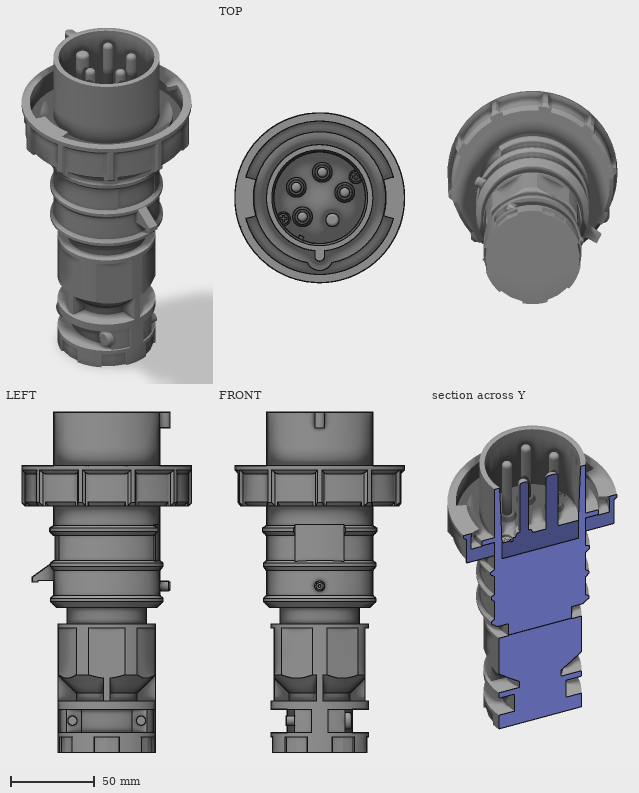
import cadquery as cq
import math


total_height = 203.33
notch_top = 9.3
clamp_bottom = 11.9
clamp_top = 25.8
disc_top = 30.8
cone_bottom = 35.5
flats_top = 74.3
gland_top = 76.9
body_bottom = 86.6
low_collar_rim_bottom = 90.2
low_collar_rim_top = 92.1
low_collar_top = 93.9
mid_collar_bottom = 108.6
mid_collar_rim_bottom = 111.2
mid_collar_rim_top = 113.1
mid_collar_top = 114.7
top_collar_bottom = 129.5
top_collar_rim_bottom = 131.9
top_collar_rim_top = 134.0
top_collar_top = 135.6
latch_top = 114.0
ring_bottom = 147.2
ring_floor = 158.2
ring_top = 171.4

body_radius = 31.75
neck_radius = 23.75
body_bottom_radius = 30.0
bore_mouth_radius = 28.6
bore_radius = 27.3
collar_radius = 33.7
top_collar_radius = 34.2
seat_depth = 15.0
flange_radius = 39.4
flange_thickness = 4.5
flange_bump_radius = 8.0
flange_bump_offset = 35.4
key_width = 5.8
key_reach = 37.9
key_height = 9.4
panel_half_width = 14.6
panel_bottom = mid_collar_rim_top
panel_top = 136.2
panel_curve_radius = 40.0
back_recess_half_width = 14.2
back_recess_depth = 0.75
back_recess_bottom = mid_collar_top
back_recess_top = top_collar_bottom
collar_gap_chamfer = 2.4
stud_level = 99.4
stud_radius = 3.0
stud_chamfer = 0.9
stud_hole_radius = 0.9
stud_hole_depth = 2.0
latch_width = 6.0
latch_tip = 44.6
latch_tip_top = 104.7
latch_lip_bottom = 101.7
latch_lip_inner = 41.0
latch_underside = 102.6
wall_overlap = 3.0
polarity_angle = 245.0
polarity_width = 2.8
polarity_tip_radius = 25.2
polarity_rise = 2.0

ring_radius = 50.75
ring_lip_height = 2.6
grip_radius = 48.4
grip_count = 10
grip_tip_width = 2.8
grip_flank_width = 5.2
grip_flank_rise = 0.5
grip_root_width = 8.0
grip_toe_chamfer = 2.3
pocket_cut_radius = 58.0
ring_edge_width = 2.0
ring_edge_height = 2.0
ring_bore_radius = 45.8
tab_half_angle = 15.8
tab_inner_radius = 39.7
tab_thickness = 3.0
tab_root = 1.0

sleeve_depth = 45.0
carrier_face = total_height - sleeve_depth
pin_recess = 0.6
pin_tip = total_height - pin_recess
pin_circle_radius = 15.3
pin_first_angle = 12.0
pin_spacing = 72.0
phase_pin_count = 4
phase_pin_radius = 3.0
earth_pin_radius = 4.0
phase_pin_flat_radius = 0.8
earth_pin_flat_radius = 2.0
collar_base_radius = 5.9
collar_tip_radius = 4.5
pin_collar_height = 3.0
fixing_circle_radius = 25.0
fixing_angle = 30.0
fixing_pocket_radius = 4.1
fixing_pocket_depth = 3.0
fixing_head_radius = 3.2
fixing_head_height = 2.0
fixing_cross_length = 4.0
fixing_cross_width = 1.2
fixing_cross_depth = 1.0

gland_radius = 29.25
hex_apothem = 27.2
waist_radius = 18.3
rib_thickness = 4.0
rib_count = 4
foot_notch_radius = 28.1
notch_cut_radius = 32.0
foot_notch_count = 6
foot_notch_half_angle = 15.0
clamp_radius = 28.3
clamp_half_width = 15.0
clamp_key_width = 10.0
clamp_bow_half_length = 15.1
clamp_bow_reach = 19.5

screw_offset = 20.5
screw_level = 19.0
screw_radius = 2.75
screw_tip = 20.0
screw_head_radius = 5.0
screw_head_height = 3.9
screw_head_rounding = 1.5


def cylinder(radius, bottom, top):
    return cq.Workplane("XY").workplane(offset=bottom).circle(radius).extrude(top - bottom)


def block(x_from, x_to, y_from, y_to, bottom, top):
    size = (x_to - x_from, y_to - y_from, top - bottom)
    return cq.Workplane("XY").box(*size, centered=False).translate((x_from, y_from, bottom))


def spin(points):
    """Solid of revolution about Z from a closed outline of (radius, level) points."""
    return cq.Workplane("XZ").polyline(points).close().revolve(360, (0, 0), (0, 1))


def polar(radius, angle):
    turn = math.radians(angle)
    return (radius * math.cos(turn), radius * math.sin(turn))


def ring_sector(inner, outer, half_angle, angle, bottom, height):
    """Part of a flat ring, centred on the given angle."""
    return (
        cq.Workplane("XY").workplane(offset=bottom)
        .moveTo(*polar(inner, angle - half_angle))
        .lineTo(*polar(outer, angle - half_angle))
        .threePointArc(polar(outer, angle), polar(outer, angle + half_angle))
        .lineTo(*polar(inner, angle + half_angle))
        .threePointArc(polar(inner, angle), polar(inner, angle - half_angle))
        .close().extrude(height)
    )


def polarity_rib(top):
    """Rib on the bore wall that keys the contact carrier."""
    mid_radius = (bore_radius + body_radius) / 2
    rib = block(polarity_tip_radius, mid_radius, -polarity_width / 2, polarity_width / 2,
                carrier_face - seat_depth, top)
    return rib.rotate((0, 0, 0), (0, 0, 1), polarity_angle)


def body_outline():
    return spin([
        (0, gland_top),
        (neck_radius, gland_top),
        (neck_radius, body_bottom),
        (body_bottom_radius, body_bottom),
        (collar_radius, low_collar_rim_bottom),
        (collar_radius, low_collar_rim_top),
        (body_radius, low_collar_top),
        (body_radius, mid_collar_bottom),
        (collar_radius, mid_collar_rim_bottom),
        (collar_radius, mid_collar_rim_top),
        (body_radius, mid_collar_top),
        (body_radius, total_height),
        (0, total_height),
    ])


def top_collar():
    """Collar with a gap at the front, its ends sloped down to the gap."""
    collar = spin([
        (neck_radius, top_collar_bottom),
        (body_radius, top_collar_bottom),
        (top_collar_radius, top_collar_rim_bottom),
        (top_collar_radius, top_collar_rim_top),
        (body_radius, top_collar_top),
        (neck_radius, top_collar_top),
    ])
    slope_end = panel_half_width + collar_gap_chamfer
    front = -top_collar_radius
    gap_root = -math.sqrt(body_radius ** 2 - panel_half_width ** 2)
    gap = (
        cq.Workplane("XY").workplane(offset=top_collar_bottom)
        .polyline([
            (-slope_end, front), (slope_end, front),
            (panel_half_width, gap_root), (-panel_half_width, gap_root),
        ]).close().extrude(top_collar_top - top_collar_bottom)
    )
    return collar.cut(gap)


def flange():
    bottom = ring_floor
    top = ring_floor + flange_thickness
    bump = cylinder(flange_bump_radius, bottom, top).translate((0, -flange_bump_offset, 0))
    return cylinder(flange_radius, bottom, top).union(bump)


def front_panel():
    """Gently curved label pad on the front of the body."""
    pad = block(-panel_half_width, panel_half_width, -body_radius, 0, panel_bottom, panel_top)
    curve = cylinder(panel_curve_radius, panel_bottom, panel_top)
    return pad.intersect(curve.translate((0, panel_curve_radius - body_radius, 0)))


def back_recess():
    """Shallow label recess that follows the curve of the back."""
    shell = cylinder(collar_radius, back_recess_bottom, back_recess_top).cut(
        cylinder(body_radius - back_recess_depth, back_recess_bottom, back_recess_top))
    return shell.intersect(block(-back_recess_half_width, back_recess_half_width, 0, collar_radius,
                                 back_recess_bottom, back_recess_top))


def sleeve_key():
    radius = key_width / 2
    bottom = total_height - key_height
    end_centre = -key_reach + radius
    stem = block(-radius, radius, end_centre, -(bore_mouth_radius + body_radius) / 2, bottom, total_height)
    return stem.union(cylinder(radius, bottom, total_height).translate((0, end_centre, 0)))


def stud():
    pin = (
        cq.Workplane("XZ").center(0, stud_level).circle(stud_radius).extrude(key_reach)
        .faces("<Y").chamfer(stud_chamfer)
    )
    return pin.faces("<Y").workplane().hole(2 * stud_hole_radius, stud_hole_depth)


def latch():
    """Wedge on the back of the body with a small lip under its edge."""
    outline = [
        (body_radius - wall_overlap, latch_top),
        (body_radius, latch_top),
        (latch_tip, latch_tip_top),
        (latch_tip, latch_lip_bottom),
        (latch_lip_inner, latch_lip_bottom),
        (latch_lip_inner, latch_underside),
        (body_radius - wall_overlap, latch_underside),
    ]
    return cq.Workplane("YZ").polyline(outline).close().extrude(latch_width / 2, both=True)


def make_housing():
    bore = spin([
        (0, carrier_face - seat_depth),
        (bore_radius, carrier_face - seat_depth),
        (bore_radius, carrier_face),
        (bore_mouth_radius, total_height),
        (0, total_height),
    ])
    return (
        body_outline()
        .union(top_collar()).union(flange())
        .cut(back_recess())
        .union(front_panel()).union(sleeve_key())
        .union(stud()).union(latch())
        .cut(bore)
        .union(polarity_rib(carrier_face + polarity_rise))
    )


def grip_pocket():
    """Shallow panel between two grip ribs, with stepped sides, a sloped top and a bevelled foot."""
    lip_bottom = ring_top - ring_lip_height
    rib_turn = 360 / grip_count
    outside = pocket_cut_radius

    def beside_rib(radius, rib_width, side):
        """Point on one flank of the rib on that side of the pocket, at the given rib width."""
        turn = rib_turn / 2 - math.degrees(math.asin(rib_width / 2 / radius))
        return polar(radius, side * turn)

    flank_radius = grip_radius + grip_flank_rise
    prism = (
        cq.Workplane("XY").workplane(offset=ring_bottom)
        .moveTo(*beside_rib(outside, grip_tip_width, -1))
        .lineTo(*beside_rib(ring_radius, grip_tip_width, -1))
        .lineTo(*beside_rib(flank_radius, grip_flank_width, -1))
        .lineTo(*beside_rib(grip_radius, grip_root_width, -1))
        .threePointArc((grip_radius, 0), beside_rib(grip_radius, grip_root_width, 1))
        .lineTo(*beside_rib(flank_radius, grip_flank_width, 1))
        .lineTo(*beside_rib(ring_radius, grip_tip_width, 1))
        .lineTo(*beside_rib(outside, grip_tip_width, 1))
        .close().extrude(lip_bottom - ring_bottom)
    )
    slope_root = grip_radius - grip_toe_chamfer
    slope_root_level = lip_bottom - (ring_radius - slope_root)
    under_slope = spin([
        (0, ring_bottom),
        (outside, ring_bottom),
        (outside, lip_bottom),
        (ring_radius, lip_bottom),
        (slope_root, slope_root_level),
        (0, slope_root_level),
    ]).rotate((0, 0, 0), (0, 0, 1), 180)
    half_angle = rib_turn / 2 - math.degrees(math.asin(grip_root_width / 2 / grip_radius))
    toe = ring_sector(grip_radius - 2 * grip_toe_chamfer, outside, half_angle, 0,
                      ring_bottom, grip_toe_chamfer)
    toe_core = spin([
        (0, ring_bottom),
        (grip_radius - grip_toe_chamfer, ring_bottom),
        (grip_radius, ring_bottom + grip_toe_chamfer),
        (0, ring_bottom + grip_toe_chamfer),
    ]).rotate((0, 0, 0), (0, 0, 1), 180)
    return prism.intersect(under_slope).union(toe.cut(toe_core))


def make_ring():
    ring = spin([
        (body_radius, ring_bottom),
        (ring_radius - ring_edge_width, ring_bottom),
        (ring_radius, ring_bottom + ring_edge_height),
        (ring_radius, ring_top),
        (ring_bore_radius, ring_top),
        (ring_bore_radius, ring_floor),
        (body_radius, ring_floor),
    ])
    for angle in (0, 180):
        ring = ring.union(ring_sector(tab_inner_radius, ring_bore_radius + tab_root, tab_half_angle, angle,
                                      ring_top - tab_thickness, tab_thickness))
    pocket = grip_pocket()
    for index in range(grip_count):
        ring = ring.cut(pocket.rotate((0, 0, 0), (0, 0, 1), index * 360 / grip_count))
    return ring


def contact_pin(radius, pin_flat_radius, angle):
    """Round pin with a domed tip that ends in a small flat."""
    pin = cylinder(radius, carrier_face, pin_tip)
    return pin.faces(">Z").edges().fillet(radius - pin_flat_radius).translate(
        (*polar(pin_circle_radius, angle), 0))


def pin_collar(angle):
    collar = spin([
        (0, carrier_face),
        (collar_base_radius, carrier_face),
        (collar_tip_radius, carrier_face + pin_collar_height),
        (0, carrier_face + pin_collar_height),
    ])
    return collar.translate((*polar(pin_circle_radius, angle), 0))


def fixing_pocket():
    """Round pocket around a cross-slotted screw head."""
    floor = carrier_face - fixing_pocket_depth
    head_top = floor + fixing_head_height
    head = cylinder(fixing_head_radius, floor, head_top)
    long_half = fixing_cross_length / 2
    short_half = fixing_cross_width / 2
    cross = block(-long_half, long_half, -short_half, short_half, head_top - fixing_cross_depth, head_top)
    cross = cross.union(cross.rotate((0, 0, 0), (0, 0, 1), 90))
    return cylinder(fixing_pocket_radius, floor, carrier_face).cut(head.cut(cross))


def make_carrier():
    carrier = cylinder(bore_radius, carrier_face - seat_depth, carrier_face)
    carrier = carrier.cut(polarity_rib(carrier_face))
    for angle in (fixing_angle, fixing_angle + 180):
        carrier = carrier.cut(fixing_pocket().translate((*polar(fixing_circle_radius, angle), 0)))
    for index in range(phase_pin_count):
        angle = pin_first_angle + index * pin_spacing
        carrier = carrier.union(pin_collar(angle))
        carrier = carrier.union(contact_pin(phase_pin_radius, phase_pin_flat_radius, angle))
    earth_angle = pin_first_angle + phase_pin_count * pin_spacing
    return carrier.union(contact_pin(earth_pin_radius, earth_pin_flat_radius, earth_angle))


def hex_nut():
    cone_top = cone_bottom + gland_radius - waist_radius
    nut = spin([
        (0, disc_top),
        (waist_radius, disc_top),
        (waist_radius, cone_bottom),
        (gland_radius, cone_top),
        (gland_radius, gland_top),
        (0, gland_top),
    ])
    for index in range(rib_count):
        rib = block(0, gland_radius, -rib_thickness / 2, rib_thickness / 2, disc_top, cone_top)
        nut = nut.union(rib.rotate((0, 0, 0), (0, 0, 1), index * 360 / rib_count))
    nut = nut.intersect(cylinder(gland_radius, disc_top, gland_top))
    hexagon = (
        cq.Workplane("XY").workplane(offset=disc_top)
        .polygon(6, 2 * hex_apothem, circumscribed=True).extrude(flats_top - disc_top)
    )
    return nut.intersect(hexagon.union(cylinder(gland_radius, flats_top, gland_top)))


def clamp_section():
    """Flat-sided block with a bowed strap on each side and a raised strip front and back."""
    height = clamp_top - clamp_bottom
    core = cylinder(clamp_radius, clamp_bottom, clamp_top).intersect(
        block(-clamp_half_width, clamp_half_width, -clamp_radius, clamp_radius, clamp_bottom, clamp_top))
    strip = cylinder(gland_radius, clamp_bottom, clamp_top).intersect(
        block(-clamp_key_width / 2, clamp_key_width / 2, -gland_radius, gland_radius,
              clamp_bottom, clamp_top))
    bows = (
        cq.Workplane("XY").workplane(offset=clamp_bottom)
        .moveTo(clamp_half_width, -clamp_bow_half_length)
        .threePointArc((clamp_bow_reach, 0), (clamp_half_width, clamp_bow_half_length))
        .lineTo(-clamp_half_width, clamp_bow_half_length)
        .threePointArc((-clamp_bow_reach, 0), (-clamp_half_width, -clamp_bow_half_length))
        .close().extrude(height)
    )
    return core.union(strip).union(bows)


def foot():
    """Disc with notches around its lower edge, each with a floor of two flats."""
    disc = cylinder(gland_radius, 0, clamp_bottom)
    half = foot_notch_half_angle
    notch = (
        cq.Workplane("XY")
        .polyline([
            polar(foot_notch_radius, -half), polar(notch_cut_radius, -half),
            polar(notch_cut_radius, half), polar(foot_notch_radius, half),
            (foot_notch_radius, 0),
        ]).close().extrude(notch_top)
    )
    for index in range(foot_notch_count):
        disc = disc.cut(notch.rotate((0, 0, 0), (0, 0, 1), index * 360 / foot_notch_count))
    return disc


def make_gland():
    gland = foot().union(clamp_section())
    gland = gland.union(cylinder(gland_radius, clamp_top, disc_top)).union(hex_nut())
    for side in (-1, 1):
        hole = (
            cq.Workplane("YZ").center(side * screw_offset, screw_level)
            .circle(screw_radius).extrude(clamp_half_width, both=True)
        )
        gland = gland.cut(hole)
    return gland


def make_clamp_screw(side):
    head = (
        cq.Workplane("YZ").workplane(offset=clamp_half_width).circle(screw_head_radius)
        .extrude(screw_head_height).faces(">X").edges().fillet(screw_head_rounding)
    )
    shank = (
        cq.Workplane("YZ").workplane(offset=-screw_tip).circle(screw_radius)
        .extrude(screw_tip + clamp_half_width)
    )
    return head.union(shank).translate((0, side * screw_offset, screw_level))


housing = make_housing()
locking_ring = make_ring()
contact_carrier = make_carrier()
gland = make_gland()
clamp_screws = [make_clamp_screw(side) for side in (-1, 1)]

result = cq.Compound.makeCompound([
    housing.val(),
    locking_ring.val(),
    contact_carrier.val(),
    gland.val(),
    *[screw.val() for screw in clamp_screws],
])